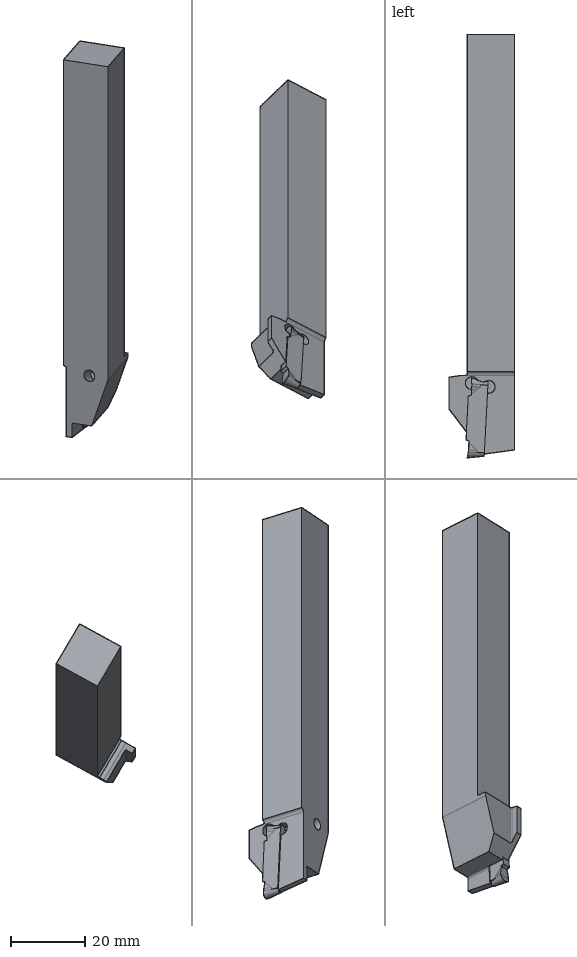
import cadquery as cq
import math

TOTAL_HEIGHT = 114.5
HOLDER_WIDTH = 12.8
SHANK_DEPTH = 12.8
HEAD_DEPTH = 17.7

FACE_OFFSET = 0.8
STEP_BOTTOM = 22.3
STEP_RADIUS = 1.0
BLADE_FAR_X = 2.5
SHOULDER_Z = 6.5
FLANGE_DEPTH = 15.7
CORNER_RADIUS = 0.3
SLOPE_TOP_Z = 21.1
SLOPE_BOTTOM_X = 8.1
RAMP_TOP_Z = 22.5
LEDGE_Z = 22.3
LEDGE_START_Y = 13.5
LEDGE_END_Y = 14.8
BACK_TOP_Z = 21.9
BLADE_BACK_Z = 13.3
BLADE_TIP_Y = 8.5
BLADE_TIP_Z = 1.0
BLADE_FRONT_Z = 2.2

SCREW_X = 7.4
SCREW_Z = 21.4
SCREW_DIAMETER = 3.1
SCREW_DEPTH = 5.7
SCREW_TILT = 20.0

INSERT_LENGTH = 21.6
INSERT_TILT = 3.0
CUT_RADIUS = 1.6
BODY_WIDTH = 2.4
BODY_RISE = 0.6
INSERT_DEPTH = 4.6
RELIEF_ANGLE = 9.0
FLARE_START = 2.3
FLARE_END = 4.5
RAKE_DROP = 0.2
RAKE_START = 1.7
RAKE_END = 4.6
RAKE_RAMP = 0.3
INSERT_X = CUT_RADIUS

RELIEF_RADIUS = 1.7
BACK_RELIEF = (11.6, 20.3)
FRONT_RELIEF = (7.0, 19.2)
RELIEF_FLOOR_X = 2 * CUT_RADIUS


def insert_head():
    """Round cutting head that flares from the body and tapers with its relief."""
    half = BODY_WIDTH / 2
    plan = (
        cq.Workplane("XZ")
        .moveTo(-CUT_RADIUS, CUT_RADIUS)
        .threePointArc((0, 0), (CUT_RADIUS, CUT_RADIUS))
        .lineTo(CUT_RADIUS, FLARE_START)
        .lineTo(half, FLARE_END)
        .lineTo(-half, FLARE_END)
        .lineTo(-CUT_RADIUS, FLARE_START)
        .close()
    )
    head = plan.extrude(INSERT_DEPTH, taper=RELIEF_ANGLE)
    groove = (
        cq.Workplane("YZ")
        .polyline([(0, 0), (-RAKE_DROP, RAKE_START), (-RAKE_DROP, FLARE_END), (0, FLARE_END)])
        .close()
        .extrude(CUT_RADIUS, both=True)
    )
    return head.cut(groove)


def insert_body():
    """Straight bar between the heads, with a chip groove ramp at each end."""
    ramp_top = RAKE_END + RAKE_RAMP
    length = INSERT_LENGTH
    return (
        cq.Workplane("YZ")
        .polyline([
            (-INSERT_DEPTH, RAKE_START),
            (-RAKE_DROP, RAKE_START),
            (-RAKE_DROP, RAKE_END),
            (BODY_RISE, ramp_top),
            (BODY_RISE, length - ramp_top),
            (-RAKE_DROP, length - RAKE_END),
            (-RAKE_DROP, length - RAKE_START),
            (-INSERT_DEPTH, length - RAKE_START),
        ])
        .close()
        .extrude(BODY_WIDTH / 2, both=True)
    )


def make_insert():
    front_head = insert_head()
    rear_head = front_head.mirror("XY", (0, 0, INSERT_LENGTH / 2))
    return (
        insert_body()
        .union(front_head)
        .union(rear_head)
        .rotate((0, 0, 0), (1, 0, 0), INSERT_TILT)
        .translate((INSERT_X, SHANK_DEPTH, 0))
    )


def holder_block():
    """Shank and head outline seen along X, over the full width."""
    return (
        cq.Workplane("YZ")
        .polyline([
            (0, TOTAL_HEIGHT),
            (SHANK_DEPTH, TOTAL_HEIGHT),
            (SHANK_DEPTH, RAMP_TOP_Z),
            (LEDGE_START_Y, LEDGE_Z),
            (LEDGE_END_Y, LEDGE_Z),
            (HEAD_DEPTH, BACK_TOP_Z),
            (HEAD_DEPTH, BLADE_BACK_Z),
            (BLADE_TIP_Y, BLADE_TIP_Z),
            (0, BLADE_FRONT_Z),
        ])
        .close()
        .extrude(HOLDER_WIDTH)
    )


def front_outline():
    """Outline of the holder seen along Y, with its step and sloped +X side."""
    step_angle = math.acos(1 - FACE_OFFSET / STEP_RADIUS)
    step_top = STEP_BOTTOM + STEP_RADIUS * math.sin(step_angle)
    step_middle = (
        FACE_OFFSET - STEP_RADIUS * (1 - math.cos(step_angle / 2)),
        STEP_BOTTOM + STEP_RADIUS * math.sin(step_angle / 2),
    )
    return (
        cq.Workplane("XZ")
        .polyline([
            (0, TOTAL_HEIGHT),
            (HOLDER_WIDTH, TOTAL_HEIGHT),
            (HOLDER_WIDTH, SLOPE_TOP_Z),
            (SLOPE_BOTTOM_X, SHOULDER_Z),
            (BLADE_FAR_X, SHOULDER_Z),
            (BLADE_FAR_X, 0),
            (FACE_OFFSET, 0),
            (FACE_OFFSET, STEP_BOTTOM),
        ])
        .threePointArc(step_middle, (0, step_top))
        .close()
        .extrude(-HEAD_DEPTH)
        .edges(cq.selectors.NearestToPointSelector((BLADE_FAR_X, HEAD_DEPTH / 2, SHOULDER_Z)))
        .fillet(CORNER_RADIUS)
    )


def behind_flange():
    """Space beside the blade, behind the thick part of the head."""
    return (
        cq.Workplane("XY")
        .box(HOLDER_WIDTH, HEAD_DEPTH, RAMP_TOP_Z, centered=False)
        .translate((BLADE_FAR_X, FLANGE_DEPTH, 0))
        .edges("|Z and <X and <Y")
        .fillet(CORNER_RADIUS)
    )


def screw_hole():
    """Blind bore that enters the front face and runs down towards the seat."""
    lead_in = SCREW_DIAMETER / 2
    return (
        cq.Workplane("XZ", origin=(0, -lead_in, 0))
        .circle(SCREW_DIAMETER / 2)
        .extrude(-(lead_in + SCREW_DEPTH))
        .rotate((0, 0, 0), (1, 0, 0), -SCREW_TILT)
        .translate((SCREW_X, 0, SCREW_Z))
    )


def seat_reliefs():
    return (
        cq.Workplane("YZ")
        .pushPoints([BACK_RELIEF, FRONT_RELIEF])
        .circle(RELIEF_RADIUS)
        .extrude(RELIEF_FLOOR_X)
    )


def make_holder(insert):
    return (
        holder_block()
        .intersect(front_outline())
        .cut(behind_flange())
        .cut(screw_hole())
        .cut(seat_reliefs())
        .cut(insert)
    )


insert = make_insert()
holder = make_holder(insert)
result = cq.Compound.makeCompound([holder.val(), insert.val()])